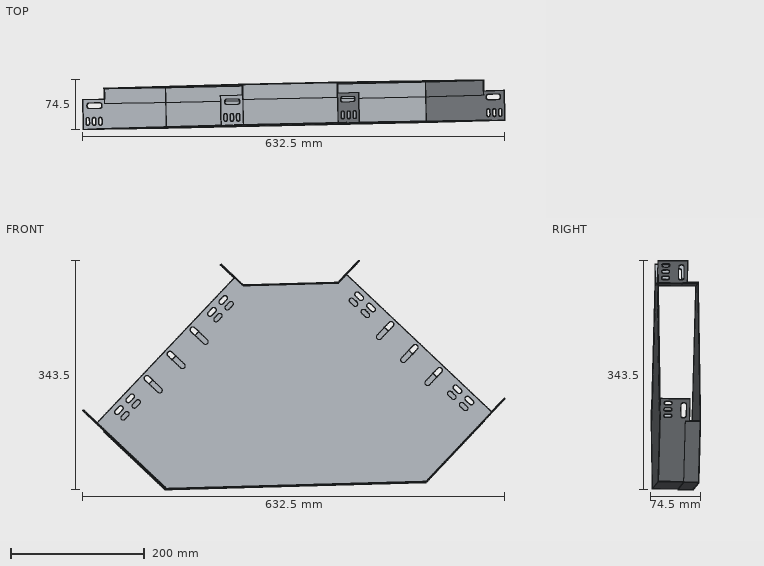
import cadquery as cq
import math


sheet = 1.0
tray_width = 301.0
tray_height = 60.5
floor_reach = 418.8
outer_cut = 275.5
inner_cut = 100.0

tab_overhang = 28.0
tab_height = 45.0
lid_setback = 17.25
lid_skirt = 22.0

short_floor_slot = (15.0, 7.0)
short_floor_depths = (10.8, 23.2)
short_floor_offsets = (89.0, 113.5)
long_floor_slot = (34.0, 8.0)
long_floor_depth = 21.5
long_floor_pitch = 50.0

short_tab_slot = (12.0, 7.0)
short_tab_setbacks = (9.5, 22.5, 35.5)
short_tab_height = 12.0
long_tab_slot = (31.0, 8.0)
long_tab_setback = 24.0
long_tab_height = 35.5

tilt_x = -0.39
tilt_y = -1.575
tilt_z = 1.26

tab_reach = floor_reach + tab_overhang
lid_reach = floor_reach - lid_setback
clearance = 10.0


def elbow(reach, grow, bottom, height):
    """Solid elbow with its legs ending at reach and its walls moved outward by grow."""
    shift = grow * (math.sqrt(2) - 1)
    outer = -grow
    inner = tray_width + grow
    outer_bend = outer_cut - shift
    inner_bend = tray_width + inner_cut + shift
    points = [
        (outer_bend, outer),
        (reach, outer),
        (reach, inner),
        (inner_bend, inner),
        (inner, inner_bend),
        (inner, reach),
        (outer, reach),
        (outer, outer_bend),
    ]
    return cq.Workplane().workplane(offset=bottom).polyline(points).close().extrude(height)


def cut_both_legs(body, tools):
    """Cut tools made for the X leg, and their mirror images in the Y leg."""
    for tool in tools:
        twin = tool.mirror(cq.Vector(1, -1, 0))
        body = body.cut(tool).cut(twin)
    return body


def tab_relief():
    """Space above the tabs, from the lid end outward."""
    length = tab_reach - lid_reach + clearance
    width = tray_width + 2 * clearance
    return (
        cq.Workplane()
        .box(length, width, tray_height, centered=False)
        .translate((lid_reach, -clearance, tab_height))
    )


def floor_slots():
    """Short slots in two rows near both walls, and long slots between them."""
    middle = tray_width / 2
    short_places = [
        (floor_reach - depth, middle + side * offset)
        for depth in short_floor_depths
        for offset in short_floor_offsets
        for side in (-1, 1)
    ]
    long_places = [
        (floor_reach - long_floor_depth, middle + step * long_floor_pitch)
        for step in (-1, 0, 1)
    ]
    base = cq.Workplane().workplane(offset=-clearance)
    short_slots = base.pushPoints(short_places).slot2D(*short_floor_slot, 90).extrude(2 * clearance)
    long_slots = base.pushPoints(long_places).slot2D(*long_floor_slot, 0).extrude(2 * clearance)
    return [short_slots, long_slots]


def tab_slots():
    """Three short upright slots and one long slot through both tabs of a leg."""
    short_places = [(tab_reach - setback, short_tab_height) for setback in short_tab_setbacks]
    long_place = (tab_reach - long_tab_setback, long_tab_height)
    depth = tray_width + 2 * clearance
    base = cq.Workplane("XZ", origin=(0, -clearance, 0))
    short_slots = base.pushPoints(short_places).slot2D(*short_tab_slot, 90).extrude(-depth)
    long_slot = base.center(*long_place).slot2D(*long_tab_slot, 0).extrude(-depth)
    return [short_slots, long_slot]


def make_tray():
    """Folded sheet: walls running out into tabs, joined to a slotted floor."""
    walls = elbow(tab_reach, 0, 0, tray_height)
    walls = walls.cut(elbow(tab_reach + clearance, -sheet, 0, tray_height))
    walls = cut_both_legs(walls, [tab_relief(), *tab_slots()])
    floor = cut_both_legs(elbow(floor_reach, -sheet, 0, sheet), floor_slots())
    return walls.union(floor)


def make_lid():
    """Plate resting on the walls, with a skirt lying against their outside."""
    skirt = elbow(lid_reach, sheet, tray_height - lid_skirt, lid_skirt + sheet)
    hollow = elbow(lid_reach + clearance, 0, 0, tray_height)
    return skirt.cut(hollow)


def place(body):
    """Stand the elbow up with its openings facing up, floor toward -Y, and tilt it."""
    body = body.rotate((0, 0, 0), (0, 0, 1), -135)
    body = body.rotate((0, 0, 0), (1, 0, 0), -90)
    body = body.rotate((0, 0, 0), (1, 0, 0), tilt_x)
    body = body.rotate((0, 0, 0), (0, 1, 0), tilt_y)
    return body.rotate((0, 0, 0), (0, 0, 1), tilt_z)


tray = place(make_tray())
lid = place(make_lid())
result = cq.Compound.makeCompound([tray.val(), lid.val()])